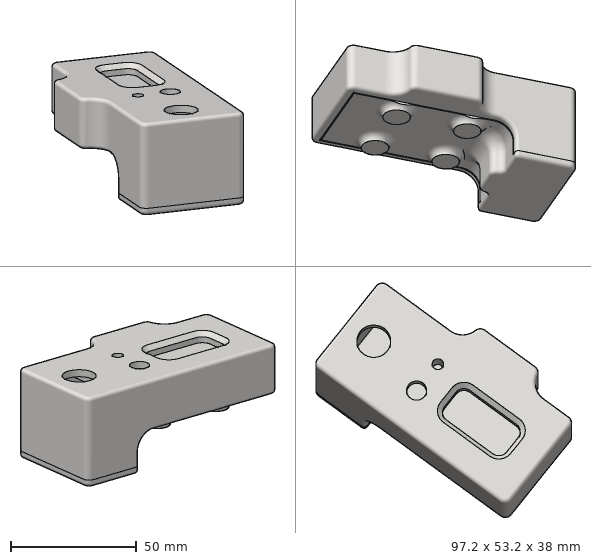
import cadquery as cq
import math

length = 97.2
width = 44.6
height = 38.0
corner_radius = 3.0
edge_round = 1.5

TOL = 0.01
MARGIN = 1.0

tab_depth = 8.6
tab_centre_x = 39.0
tab_flat = 25.2
tab_tip_radius = 3.0
tab_root_radius = 8.0

leg_length = 26.1
leg_x = length - leg_length
block_bottom = 17.0
leg_root_radius = 8.0
bulge_depth = 5.0
bulge_width = 16.0
bulge_round = 3.0

end_wall = 3.0
side_wall = 5.0
lip = 3.0
joint_gap = 0.5
cover_wall = 3.0
block_roof = 7.5
block_ceiling = height - block_roof
leg_ceiling = height - end_wall

window_centre = (29.5, 22.6)
window_length = 31.2
window_width = 15.5
window_radius = 4.0
window_chamfer = 2.0
window_depth = 4.5
blind_hole_d = 8.0
blind_hole_centre = (57.6, 28.3)
blind_hole_depth = 3.0
small_hole_d = 4.5
small_hole_centre = (57.6, 14.4)
large_hole_d = 13.5
large_hole_centre = (length - 13.5, width / 2)

foot_d = 11.0
foot_height = 3.0
foot_xs = (24.0, 54.0)
foot_inset_y = 10.0
foot_ys = (foot_inset_y, width - foot_inset_y)


def box(x_range, y_range, z_range):
    """Box between the given limits."""
    sizes = [high - low for low, high in (x_range, y_range, z_range)]
    corner = (x_range[0], y_range[0], z_range[0])
    return cq.Workplane("XY").box(*sizes, centered=False).translate(corner)


def plan_prism():
    """Full-height prism of the plan outline, with its tab."""
    radii = tab_tip_radius + tab_root_radius
    turn = math.acos(1 - tab_depth / radii)
    tip_x = tab_flat / 2
    root_x = tip_x + radii * math.sin(turn)

    def tip_arc(angle):
        return (tip_x + tab_tip_radius * math.sin(angle),
                -tab_depth + tab_tip_radius * (1 - math.cos(angle)))

    def root_arc(angle):
        return (root_x - tab_root_radius * math.sin(angle),
                -tab_root_radius * (1 - math.cos(angle)))

    def place(point, side):
        return (tab_centre_x + side * point[0], point[1])

    outline = (
        cq.Workplane("XY")
        .moveTo(0, width)
        .lineTo(0, 0)
        .lineTo(*place((root_x, 0), -1))
        .threePointArc(place(root_arc(turn / 2), -1), place(root_arc(turn), -1))
        .threePointArc(place(tip_arc(turn / 2), -1), place(tip_arc(0), -1))
        .lineTo(*place(tip_arc(0), 1))
        .threePointArc(place(tip_arc(turn / 2), 1), place(tip_arc(turn), 1))
        .threePointArc(place(root_arc(turn / 2), 1), place((root_x, 0), 1))
        .lineTo(length, 0)
        .lineTo(length, width)
        .close()
    )
    prism = outline.extrude(height)
    ends = [(x, y, height / 2) for x in (0, length) for y in (0, width)]
    for end in ends:
        prism = prism.edges(cq.selectors.NearestToPointSelector(end)).fillet(corner_radius)
    return prism


def under_space():
    """Space below the block and beside the leg, rounded where they meet."""
    low_y = -tab_depth - MARGIN
    return (
        box((-MARGIN, leg_x), (low_y, width + MARGIN), (-MARGIN, block_bottom))
        .edges("|Y").edges(">X and >Z").fillet(leg_root_radius)
    )


def bulge():
    """Round-cornered column on the leg's -X face, flaring into the block above it."""
    tip_x = leg_x - bulge_depth
    back_x = leg_x + bulge_round
    side_y = (width - bulge_width) / 2
    flare = leg_root_radius
    column = (
        box((tip_x, back_x), (side_y, width - side_y), (0, block_bottom))
        .edges("|Z and <X").fillet(bulge_round)
    )
    plate = box(
        (tip_x - flare - MARGIN, back_x),
        (MARGIN, width - MARGIN),
        (block_bottom, block_bottom + MARGIN),
    )
    root = cq.selectors.BoxSelector(
        (tip_x - MARGIN, side_y - MARGIN, block_bottom - TOL),
        (back_x - TOL, width - side_y + MARGIN, block_bottom + TOL),
    )
    return column.union(plate).edges(root).fillet(flare)


def blend_bulge(body):
    """Round the inner corner beside the bulge, all the way up its flare."""
    on_leg_face = cq.selectors.BoxSelector(
        (leg_x - TOL, MARGIN, TOL),
        (leg_x + TOL, width - MARGIN, block_bottom / 2),
    )
    upright = body.edges("|Z").edges(on_leg_face).vals()
    flare_creases = body.edges("%ELLIPSE or %BSPLINE").vals()
    return body.newObject(upright + flare_creases).fillet(bulge_round)


def outer_shape():
    """Housing and cover together, as one solid without hollows or feet."""
    body = plan_prism().cut(under_space()).union(bulge())
    body = blend_bulge(body)
    body = body.faces(">Z").edges().fillet(edge_round)
    below_block = cq.selectors.BoxSelector(
        (-MARGIN, -tab_depth - MARGIN, -MARGIN),
        (length + MARGIN, width + MARGIN, block_bottom + TOL),
    )
    inside_outline = cq.selectors.BoxSelector(
        (MARGIN, MARGIN, TOL),
        (length - MARGIN, width - MARGIN, block_bottom + MARGIN),
    )
    return body.edges(below_block - inside_outline).fillet(edge_round)


def interior():
    """Hollow of the closed case: low in the block, full height in the leg."""
    y_range = (side_wall, width - side_wall)
    x_end = length - end_wall
    leg_inside = leg_x + cover_wall
    low = box((side_wall, x_end), y_range, (block_bottom + cover_wall, block_ceiling))
    tall = box((leg_inside, x_end), y_range, (cover_wall, leg_ceiling))
    return low.union(tall)


def joint_space(wall):
    """Space under the block, down the leg's -X side and across its sole.

    The part under the block and beside the leg stays `wall` inside the outline;
    the sole passes beyond the outline all round.
    """
    y_range = (wall, width - wall)
    under_block = box((wall, leg_x + cover_wall), y_range, (0, block_bottom + cover_wall))
    sole = box(
        (leg_x - bulge_depth, length + MARGIN),
        (-MARGIN, width + MARGIN),
        (-MARGIN, cover_wall),
    )
    return under_block.union(sole)


def cut_window(body):
    """Sink the blind rectangular pocket with rounded corners and chamfer its rim."""
    pocket = (
        cq.Workplane("XY").workplane(offset=height - window_depth)
        .center(*window_centre).rect(window_length, window_width).extrude(window_depth)
        .edges("|Z").fillet(window_radius)
    )
    half_length = window_length / 2 + TOL
    half_width = window_width / 2 + TOL
    centre_x, centre_y = window_centre
    rim = cq.selectors.BoxSelector(
        (centre_x - half_length, centre_y - half_width, height - TOL),
        (centre_x + half_length, centre_y + half_width, height + TOL),
    )
    return body.cut(pocket).edges(rim).chamfer(window_chamfer)


def top_hole(diameter, centre, depth):
    """Round hole sunk from the top face."""
    return (
        cq.Workplane("XY").workplane(offset=height - depth)
        .center(*centre).circle(diameter / 2).extrude(depth)
    )


def foot(x, y):
    """Round foot that flares into the block's underside."""
    radius = foot_d / 2
    flare = foot_height
    middle = flare * (1 - math.sqrt(0.5))
    foot_top = block_bottom + cover_wall / 2
    return (
        cq.Workplane("XZ")
        .moveTo(0, block_bottom - foot_height)
        .lineTo(radius, block_bottom - foot_height)
        .threePointArc((radius + middle, block_bottom - middle),
                       (radius + flare, block_bottom))
        .lineTo(radius + flare, foot_top)
        .lineTo(0, foot_top)
        .close()
        .revolve(360, (0, 0, 0), (0, 1, 0))
        .translate((x, y, 0))
    )


def make_housing(envelope):
    """Housing: roof and side walls, open underneath and at the leg's -X side."""
    body = envelope.cut(joint_space(lip)).cut(interior())
    body = cut_window(body)
    body = body.cut(top_hole(blind_hole_d, blind_hole_centre, blind_hole_depth))
    body = body.cut(top_hole(small_hole_d, small_hole_centre, block_roof))
    return body.cut(top_hole(large_hole_d, large_hole_centre, end_wall))


def make_cover(envelope):
    """Cover: sole of the leg, its -X wall and the plate under the block, with feet."""
    space = joint_space(lip + joint_gap)
    body = envelope.intersect(space)
    for x in foot_xs:
        for y in foot_ys:
            body = body.union(foot(x, y).intersect(space))
    return body


envelope = outer_shape()
housing = make_housing(envelope)
cover = make_cover(envelope)
result = cq.Compound.makeCompound([housing.val(), cover.val()])